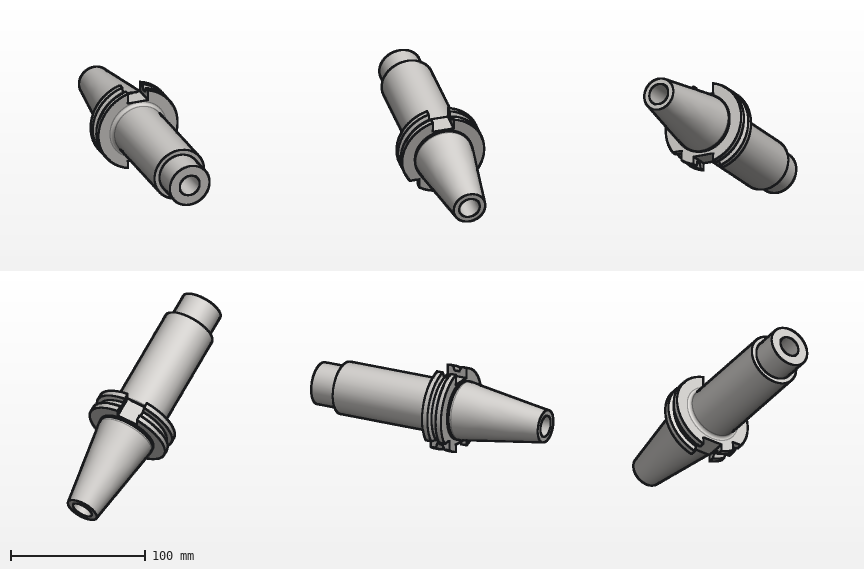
import cadquery as cq

total_length = 190.3
gauge_x = 68.3
collar_end_x = 70.2
flange_start_x = 71.5
flange_end_x = 87.5
shank_end_x = 169.7

taper_small_diameter = 24.5
gauge_diameter = 44.5
collar_end_diameter = 44.7
neck_diameter = 44.3
flange_diameter = 63.5
groove_diameter = 56.3
shank_diameter = 40.0
nose_diameter = 32.0
bore_diameter = 16.0

groove_center_x = 79.5
groove_top_width = 6.9
groove_floor_width = 3.8

shank_fillet_radius = 2.7

slot_width = 16.2
upper_slot_floor = 22.8
lower_slot_floor = 25.0
notch_offset = 18.5


def make_body():
    """Solid of revolution about X: taper, collar, grooved flange, shank and nose."""
    flange_radius = flange_diameter / 2
    groove_radius = groove_diameter / 2
    shank_radius = shank_diameter / 2
    profile = (
        cq.Workplane("XY")
        .moveTo(0, 0)
        .lineTo(0, taper_small_diameter / 2)
        .lineTo(gauge_x, gauge_diameter / 2)
        .lineTo(collar_end_x, collar_end_diameter / 2)
        .lineTo(collar_end_x, neck_diameter / 2)
        .lineTo(flange_start_x, neck_diameter / 2)
        .lineTo(flange_start_x, flange_radius)
        .lineTo(groove_center_x - groove_top_width / 2, flange_radius)
        .lineTo(groove_center_x - groove_floor_width / 2, groove_radius)
        .lineTo(groove_center_x + groove_floor_width / 2, groove_radius)
        .lineTo(groove_center_x + groove_top_width / 2, flange_radius)
        .lineTo(flange_end_x, flange_radius)
        .lineTo(flange_end_x, shank_radius + shank_fillet_radius)
        .radiusArc((flange_end_x + shank_fillet_radius, shank_radius), -shank_fillet_radius)
        .lineTo(shank_end_x, shank_radius)
        .lineTo(shank_end_x, nose_diameter / 2)
        .lineTo(total_length, nose_diameter / 2)
        .lineTo(total_length, 0)
        .close()
    )
    return profile.revolve(360, (0, 0, 0), (1, 0, 0))


def flange_cutter(y_start, y_end, z_start, z_end):
    """Box spanning the flange thickness between the given Y and Z limits."""
    return cq.Workplane("XY").box(
        flange_end_x - flange_start_x, y_end - y_start, z_end - z_start, centered=False
    ).translate((flange_start_x, y_start, z_start))


outside = flange_diameter
half_slot = slot_width / 2
upper_slot = flange_cutter(-half_slot, half_slot, upper_slot_floor, outside)
lower_slot = flange_cutter(-half_slot, half_slot, -outside, -lower_slot_floor)
orientation_notch = flange_cutter(notch_offset, outside, -outside, -notch_offset)

bore = cq.Workplane("YZ").circle(bore_diameter / 2).extrude(total_length)

result = make_body().cut(upper_slot).cut(lower_slot).cut(orientation_notch).cut(bore)